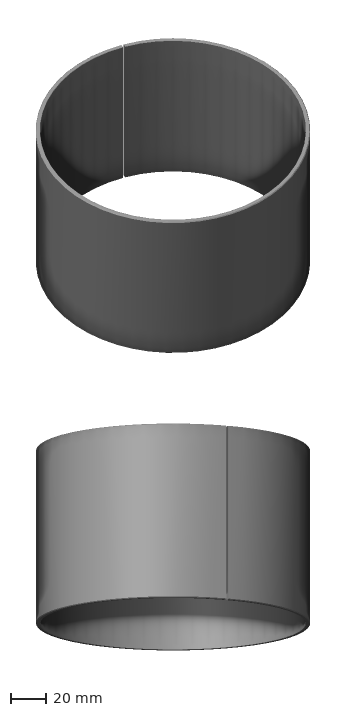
import cadquery as cq

OUTER_DIAMETER = 155.0
WALL_THICKNESS = 2.5
LENGTH = 100.0
OUTER_CHAMFER = 0.5
INNER_CHAMFER = 0.2
SLIT_ANGLE = 1.0

outer_radius = OUTER_DIAMETER / 2
inner_radius = outer_radius - WALL_THICKNESS
half_length = LENGTH / 2


def make_wall_section():
    """Wall cross-section on the -X side of the XZ plane, chamfered at all four corners."""
    return (
        cq.Workplane("XZ")
        .moveTo(-outer_radius, -half_length + OUTER_CHAMFER)
        .lineTo(-outer_radius, half_length - OUTER_CHAMFER)
        .lineTo(-outer_radius + OUTER_CHAMFER, half_length)
        .lineTo(-inner_radius - INNER_CHAMFER, half_length)
        .lineTo(-inner_radius, half_length - INNER_CHAMFER)
        .lineTo(-inner_radius, -half_length + INNER_CHAMFER)
        .lineTo(-inner_radius - INNER_CHAMFER, -half_length)
        .lineTo(-outer_radius + OUTER_CHAMFER, -half_length)
        .close()
    )


result = make_wall_section().revolve(360 - SLIT_ANGLE, (0, 0), (0, 1))